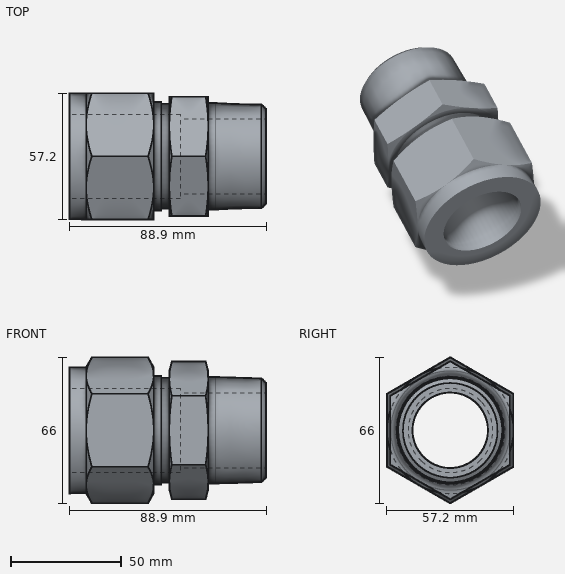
import cadquery as cq
import math

NUT_HEX_START = 7.62
NUT_END = 38.1
RING_END = 41.6
BODY_HEX_START = 45.2
BODY_HEX_END = 62.7
TAPER_START = 65.9
OVERALL_LENGTH = 88.9

HEX_SIDES = 6
CORNER_UP_ANGLE = 90.0
NUT_ACROSS_FLATS = 57.15
NUT_CHAMFER_ANGLE = 30.0
BODY_ACROSS_FLATS = 53.975
BODY_CHAMFER_ANGLE = 15.0

FULL_TURN = 360.0
AXIS_START = (0, 0, 0)
AXIS_END = (1, 0, 0)

RING_RADIUS = 24.6
NECK_RADIUS = 23.75
THREAD_DIAMETER = 48.26
THREAD_RADIUS = THREAD_DIAMETER / 2
THREAD_TAPER = 1 / 32
END_CHAMFER = 2.1

TUBE_DIAMETER = 38.1
TUBE_DEPTH = 50.0
BORE_DIAMETER = 34.0


def cylinder(start, end, radius):
    """Solid cylinder about the X axis between two stations."""
    return cq.Workplane("YZ", origin=(start, 0, 0)).circle(radius).extrude(end - start)


def chamfered_hexagon(start, end, across_flats, chamfer_angle):
    """Hexagon with corners up and down, both ends coned down to the inscribed circle."""
    flat_radius = across_flats / 2
    corner_radius = flat_radius / math.cos(math.pi / HEX_SIDES)
    chamfer_length = (corner_radius - flat_radius) * math.tan(math.radians(chamfer_angle))
    prism = (
        cq.Workplane("YZ", origin=(start, 0, 0))
        .transformed(rotate=(0, 0, CORNER_UP_ANGLE))
        .polygon(HEX_SIDES, 2 * corner_radius)
        .extrude(end - start)
    )
    envelope = (
        cq.Workplane("XZ")
        .moveTo(start, 0)
        .lineTo(start, flat_radius)
        .lineTo(start + chamfer_length, corner_radius)
        .lineTo(end - chamfer_length, corner_radius)
        .lineTo(end, flat_radius)
        .lineTo(end, 0)
        .close()
        .revolve(FULL_TURN, AXIS_START, AXIS_END)
    )
    return prism.intersect(envelope)


def tapered_thread():
    """Smooth stand-in for the pipe thread: cylinder, taper and end chamfer."""
    chamfer_start = OVERALL_LENGTH - END_CHAMFER
    small_radius = THREAD_RADIUS - THREAD_TAPER * (chamfer_start - TAPER_START)
    return (
        cq.Workplane("XZ")
        .moveTo(BODY_HEX_END, 0)
        .lineTo(BODY_HEX_END, THREAD_RADIUS)
        .lineTo(TAPER_START, THREAD_RADIUS)
        .lineTo(chamfer_start, small_radius)
        .lineTo(OVERALL_LENGTH, small_radius - END_CHAMFER)
        .lineTo(OVERALL_LENGTH, 0)
        .close()
        .revolve(FULL_TURN, AXIS_START, AXIS_END)
    )


nut = cylinder(0, NUT_HEX_START, NUT_ACROSS_FLATS / 2).union(
    chamfered_hexagon(NUT_HEX_START, NUT_END, NUT_ACROSS_FLATS, NUT_CHAMFER_ANGLE)
)

body = (
    cylinder(NUT_END, RING_END, RING_RADIUS)
    .union(cylinder(RING_END, BODY_HEX_START, NECK_RADIUS))
    .union(chamfered_hexagon(BODY_HEX_START, BODY_HEX_END, BODY_ACROSS_FLATS, BODY_CHAMFER_ANGLE))
    .union(tapered_thread())
)

tube_socket = cylinder(0, TUBE_DEPTH, TUBE_DIAMETER / 2)
through_bore = cylinder(0, OVERALL_LENGTH, BORE_DIAMETER / 2)

result = nut.union(body).cut(tube_socket).cut(through_bore)